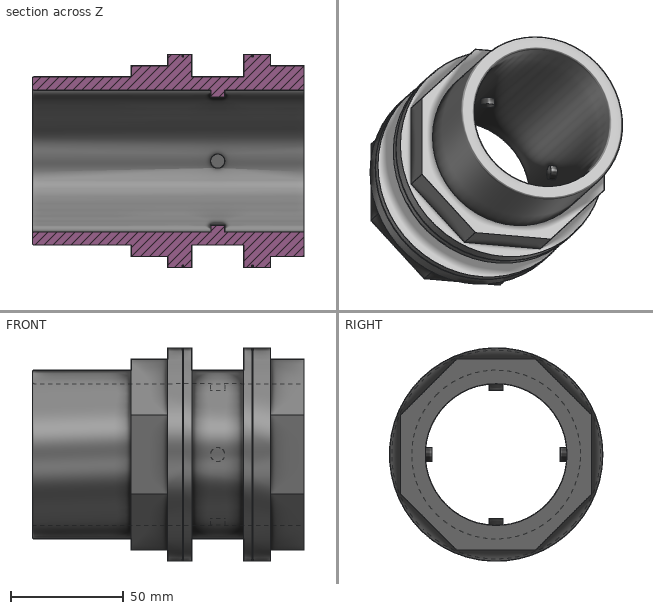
import cadquery as cq

OVERALL_LENGTH = 121.0
TUBE_DIAMETER = 75.18
BORE_DIAMETER = 63.0
MOUTH_FILLET = 0.9

ACROSS_FLATS = 85.0
FIRST_COLLAR_START = 44.0
FIRST_COLLAR_LENGTH = 16.25
SECOND_COLLAR_LENGTH = 15.0

FLANGE_DIAMETER = 95.0
FIRST_FLANGE_LENGTH = 10.75
SECOND_FLANGE_LENGTH = 12.0
GROOVE_DIAMETER = 93.0
GROOVE_WIDTH = 0.5
GROOVE_INSET = 4.0

PIN_COUNT = 4
PIN_DIAMETER = 6.3
PIN_TIP_RADIUS = 28.5

FIRST_FLANGE_START = FIRST_COLLAR_START + FIRST_COLLAR_LENGTH
FIRST_FLANGE_END = FIRST_FLANGE_START + FIRST_FLANGE_LENGTH
SECOND_COLLAR_START = OVERALL_LENGTH - SECOND_COLLAR_LENGTH
SECOND_FLANGE_START = SECOND_COLLAR_START - SECOND_FLANGE_LENGTH
PIN_POSITION = (FIRST_FLANGE_END + SECOND_FLANGE_START) / 2


def cylinder(start, length, diameter):
    """Cylinder along the X axis."""
    return cq.Workplane("YZ", origin=(start, 0, 0)).circle(diameter / 2).extrude(length)


def octagon_collar(start, length):
    """Octagonal prism with flats facing Y and Z: a square crossed with a turned square."""
    square = cq.Workplane("YZ", origin=(start, 0, 0)).rect(ACROSS_FLATS, ACROSS_FLATS).extrude(length)
    turned_square = square.rotate((0, 0, 0), (1, 0, 0), 45)
    return square.intersect(turned_square)


def grooved_flange(start, length, groove_middle):
    """Round flange with a narrow groove around its rim."""
    groove_start = groove_middle - GROOVE_WIDTH / 2
    groove = cylinder(groove_start, GROOVE_WIDTH, FLANGE_DIAMETER).cut(
        cylinder(groove_start, GROOVE_WIDTH, GROOVE_DIAMETER)
    )
    return cylinder(start, length, FLANGE_DIAMETER).cut(groove)


def rounded_tube():
    """Bored tube with the inner and outer edges of its -X mouth rounded."""
    tube = cylinder(0, OVERALL_LENGTH, TUBE_DIAMETER).cut(cylinder(0, OVERALL_LENGTH, BORE_DIAMETER))
    return tube.faces("<X").edges().fillet(MOUTH_FILLET)


def ring(body):
    """Clear the bore through a collar or flange."""
    return body.cut(cylinder(0, OVERALL_LENGTH, BORE_DIAMETER))


def bore_pin(angle):
    """Radial pin rooted halfway into the tube wall."""
    root_radius = (TUBE_DIAMETER + BORE_DIAMETER) / 4
    pin = (
        cq.Workplane("XY", origin=(PIN_POSITION, 0, PIN_TIP_RADIUS))
        .circle(PIN_DIAMETER / 2)
        .extrude(root_radius - PIN_TIP_RADIUS)
    )
    return pin.rotate((0, 0, 0), (1, 0, 0), angle)


result = rounded_tube()
result = result.union(ring(octagon_collar(FIRST_COLLAR_START, FIRST_COLLAR_LENGTH)))
result = result.union(ring(octagon_collar(SECOND_COLLAR_START, SECOND_COLLAR_LENGTH)))

first_groove = FIRST_FLANGE_END - GROOVE_INSET
second_groove = SECOND_FLANGE_START + GROOVE_INSET
result = result.union(ring(grooved_flange(FIRST_FLANGE_START, FIRST_FLANGE_LENGTH, first_groove)))
result = result.union(ring(grooved_flange(SECOND_FLANGE_START, SECOND_FLANGE_LENGTH, second_groove)))

for index in range(PIN_COUNT):
    result = result.union(bore_pin(index * 360 / PIN_COUNT))